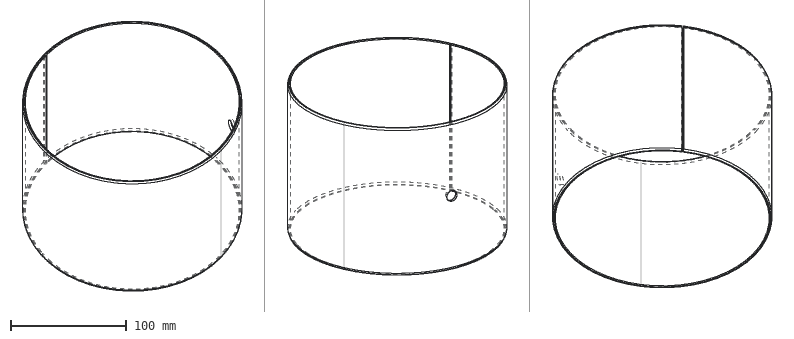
import cadquery as cq
import math

outer_diameter = 190.0
height = 140.0
wall = 2.5
outer_radius = outer_diameter / 2
inner_radius = outer_radius - wall

bevel_height = 2.0
bevel_depth = 0.8
inner_bevel = 0.8

slit_width = 1.5
slit_offset = slit_width / 2


hole_diameter = 10.0
hole_angle = 59.0


def make_sleeve():
    """Revolve the wall section, bevelled at all four corners, about Z."""
    bevel_outer = outer_radius - bevel_depth
    bevel_inner = inner_radius + inner_bevel
    section = (
        cq.Workplane("XZ")
        .moveTo(bevel_inner, 0)
        .lineTo(bevel_outer, 0)
        .lineTo(outer_radius, bevel_height)
        .lineTo(outer_radius, height - bevel_height)
        .lineTo(bevel_outer, height)
        .lineTo(bevel_inner, height)
        .lineTo(inner_radius, height - inner_bevel)
        .lineTo(inner_radius, inner_bevel)
        .close()
    )
    return section.revolve(360, (0, 0, 0), (0, 1, 0))


def make_slit():
    """Full-height cutter running from the axis out through the -X wall."""
    return (
        cq.Workplane("XY")
        .center(-outer_radius, slit_offset)
        .rect(outer_diameter, slit_width)
        .extrude(height)
    )


def make_hole():
    """Radial cylinder running from the axis out through one wall."""
    angle = math.radians(hole_angle)
    direction = cq.Vector(math.cos(angle), math.sin(angle), 0)
    start = cq.Vector(0, 0, height / 2)
    return cq.Solid.makeCylinder(hole_diameter / 2, outer_diameter, start, direction)


result = make_sleeve().cut(make_slit()).cut(make_hole())